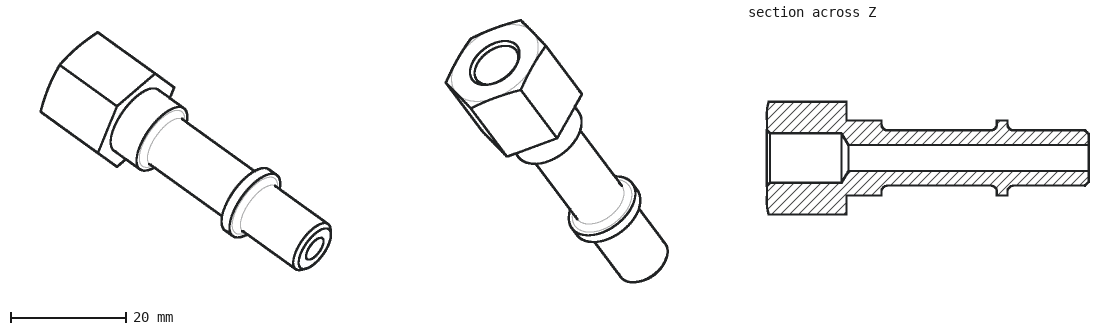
import cadquery as cq
import math

total_length = 56.0
hex_length = 13.9
collar_end = 20.0
ring_start = 40.0
ring_width = 1.9
ring_end = ring_start + ring_width

across_flats = 17.0
across_corners = across_flats / math.cos(math.pi / 6)
collar_radius = 13.1 / 2
shaft_radius = 9.7 / 2
fillet_radius = 1.0
tip_chamfer = 0.7
hex_chamfer_angle = math.radians(15)

bore_radius = 8.55 / 2
bore_mouth_radius = 9.75 / 2
bore_depth = 13.0
drill_point_angle = math.radians(118)
passage_radius = 4.5 / 2


def revolve_about_x(profile):
    return profile.close().revolve(360, (0, 0, 0), (1, 0, 0))


def make_hexagon():
    """Hexagon with flats facing +Z and -Z and corners turned off at the open end."""
    prism = cq.Workplane("YZ").polygon(6, across_corners).extrude(hex_length)
    flat_radius = across_flats / 2
    corner_radius = across_corners / 2
    chamfer_length = (corner_radius - flat_radius) * math.tan(hex_chamfer_angle)
    envelope = revolve_about_x(
        cq.Workplane("XY")
        .lineTo(0, flat_radius)
        .lineTo(chamfer_length, corner_radius)
        .lineTo(hex_length, corner_radius)
        .lineTo(hex_length, 0)
    )
    return prism.intersect(envelope)


def add_concave_fillet(profile, shoulder_x, direction):
    """Draw the quarter arc joining a shoulder to the shaft, in order of increasing X.

    direction is +1 when the shaft lies after the shoulder and -1 when it lies before.
    """
    center_x = shoulder_x + direction * fillet_radius
    center_r = shaft_radius + fillet_radius
    diagonal = fillet_radius * math.sqrt(0.5)
    middle = (center_x - direction * diagonal, center_r - diagonal)
    on_shoulder = (shoulder_x, center_r)
    on_shaft = (center_x, shaft_radius)
    start, end = (on_shoulder, on_shaft) if direction > 0 else (on_shaft, on_shoulder)
    return profile.lineTo(*start).threePointArc(middle, end)


def make_stem():
    """Collar, shaft and retaining ring, with fillets at the shoulders."""
    profile = (
        cq.Workplane("XY")
        .lineTo(0, collar_radius)
        .lineTo(collar_end, collar_radius)
    )
    profile = add_concave_fillet(profile, collar_end, 1)
    profile = add_concave_fillet(profile, ring_start, -1)
    profile = profile.lineTo(ring_start, collar_radius).lineTo(ring_end, collar_radius)
    profile = add_concave_fillet(profile, ring_end, 1)
    profile = (
        profile.lineTo(total_length - tip_chamfer, shaft_radius)
        .lineTo(total_length, shaft_radius - tip_chamfer)
        .lineTo(total_length, 0)
    )
    return revolve_about_x(profile)


def make_bore():
    """Countersunk bore with a drill-point bottom, leading into the through passage."""
    mouth_depth = bore_mouth_radius - bore_radius
    cone_length = (bore_radius - passage_radius) / math.tan(drill_point_angle / 2)
    return revolve_about_x(
        cq.Workplane("XY")
        .lineTo(0, bore_mouth_radius)
        .lineTo(mouth_depth, bore_radius)
        .lineTo(bore_depth, bore_radius)
        .lineTo(bore_depth + cone_length, passage_radius)
        .lineTo(total_length, passage_radius)
        .lineTo(total_length, 0)
    )


result = make_hexagon().union(make_stem()).cut(make_bore())